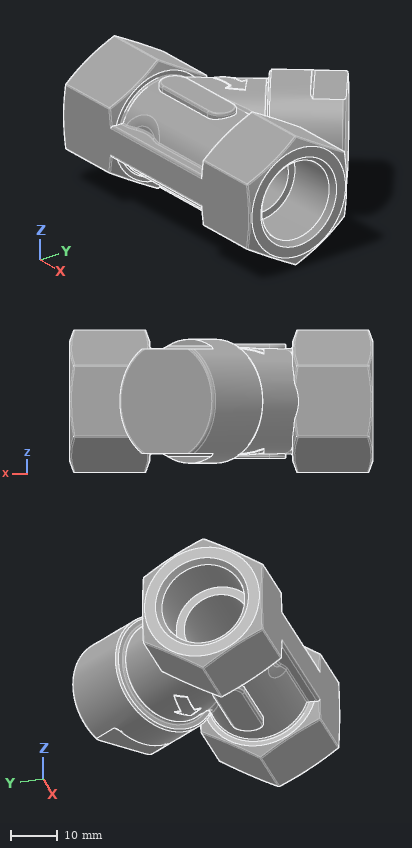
import cadquery as cq
import math

length = 66.0
hex_flats = 27.0
hex_length = 17.5
hex_face_diameter = 25.9
hex_chamfer_angle = 20.0
hex_edge_radius = 0.3
neck_fillet = 0.4

tube_diameter = 23.0
bore_diameter = 15.0
socket_diameter = 18.6
socket_depth = 13.2
mouth_diameter = 20.9

web_thickness = 7.6
web_edge_radius = 0.6
web_hex_overlap = 0.8
web_root_radius = 0.4
web_root_depth = 2.65

branch_x = -13.15
branch_angle = 50.0
branch_end = 39.0
crotch_fillet = 1.3

cap_diameter = 27.0
cap_length = 17.0
cap_end_fillet = 0.6
cap_skirt_chamfer = 0.45
cap_root_fillet = 0.5
cap_flats = 22.8
cap_flat_length = 7.8
cap_flat_bevel = 0.6

plate_length = 23.0
plate_width = 7.05
plate_x = -2.6
plate_height = 12.5
plate_rim_radius = 0.45

arrow_tail_x = -9.25
arrow_y = 11.15
arrow_length = 9.2
arrow_head_length = 3.2
arrow_head_width = 5.95
arrow_shaft_width = 3.05
arrow_relief = 0.2

dimple_x = -8.1
dimple_floor_radius = 8.6
dimple_floor_y = 9.5
dimple_rim_radius = 3.6
dimple_reach = 7.25

overlap = 0.65
select_margin = 0.05

tube_radius = tube_diameter / 2
bore_radius = bore_diameter / 2
socket_radius = socket_diameter / 2
cap_radius = cap_diameter / 2
neck_length = branch_end - cap_length
mouth_radius = mouth_diameter / 2
hex_corner_radius = hex_flats / math.sqrt(3)
hex_inner_x = length / 2 - hex_length


def make_hex_end():
    """Hexagon of the +X end with both faces turned down at the corners."""
    prism = (
        cq.Workplane("YZ", origin=(hex_inner_x, 0, 0))
        .polygon(6, 2 * hex_corner_radius)
        .extrude(hex_length)
        .rotate((0, 0, 0), (1, 0, 0), 90)
    )
    outer_radius = hex_corner_radius + overlap
    face_radius = hex_face_diameter / 2
    run = (outer_radius - face_radius) * math.tan(math.radians(hex_chamfer_angle))
    turned = (
        cq.Workplane("XY")
        .moveTo(hex_inner_x, 0)
        .lineTo(hex_inner_x, face_radius)
        .lineTo(hex_inner_x + run, outer_radius)
        .lineTo(length / 2 - run, outer_radius)
        .lineTo(length / 2, face_radius)
        .lineTo(length / 2, 0)
        .close()
        .revolve(360, (0, 0, 0), (1, 0, 0))
    )
    side_edges = prism.intersect(turned).faces("#X").edges()
    return side_edges.fillet(hex_edge_radius)


def place_on_branch(solid):
    """Move a solid built along X from the origin onto the branch axis."""
    return solid.rotate((0, 0, 0), (0, 0, 1), branch_angle).translate((branch_x, 0, 0))


def make_blend_ring(shoulder_x, radius):
    """Concave ring that blends a round of the pipe's size into a shoulder facing -X."""
    inner = tube_radius - overlap
    return (
        cq.Workplane("XY")
        .moveTo(shoulder_x, inner)
        .lineTo(shoulder_x, tube_radius + radius)
        .radiusArc((shoulder_x - radius, tube_radius), radius)
        .lineTo(shoulder_x - radius, inner)
        .close()
        .revolve(360, (0, 0, 0), (1, 0, 0))
    )


def make_body():
    """Pipe and branch neck, blended where they cross."""
    pipe = cq.Workplane("YZ").circle(tube_radius).extrude(hex_inner_x + overlap, both=True)
    neck = cq.Workplane("YZ").circle(tube_radius).extrude(neck_length + overlap)
    body = pipe.union(place_on_branch(neck))
    crotch = cq.selectors.BoxSelector(
        (branch_x + select_margin, select_margin, -tube_radius),
        (hex_inner_x, length, tube_radius),
    )
    return body.edges(crotch).fillet(crotch_fillet)


def make_cap():
    """Round branch cap with two wrench flats and a blended root."""
    cap = (
        cq.Workplane("YZ", origin=(neck_length, 0, 0))
        .circle(cap_radius)
        .extrude(cap_length)
        .faces(">X").edges().fillet(cap_end_fillet)
        .faces("<X").edges().chamfer(cap_skirt_chamfer)
    )
    flat_half = cap_flats / 2
    flat_start = branch_end - cap_flat_length
    relief = (
        cq.Workplane("XZ")
        .moveTo(flat_start + cap_flat_bevel, flat_half)
        .lineTo(branch_end, flat_half)
        .lineTo(branch_end, cap_radius)
        .lineTo(flat_start, cap_radius)
        .lineTo(flat_start, flat_half + cap_flat_bevel)
        .close()
        .extrude(cap_radius, both=True)
    )
    cap = cap.cut(relief).cut(relief.mirror("XY"))
    return place_on_branch(cap.union(make_blend_ring(neck_length, cap_root_fillet)))


def cut_dimple(body):
    """Sink a saddle-shaped dimple into the -Y side of the pipe and round its rim."""
    plug = (
        cq.Workplane("XY", origin=(dimple_x, -dimple_floor_y - dimple_floor_radius, 0))
        .circle(dimple_floor_radius)
        .extrude(tube_radius, both=True)
    )
    rim = cq.selectors.BoxSelector(
        (dimple_x - dimple_reach, -tube_radius - overlap, -dimple_reach),
        (dimple_x + dimple_reach, -tube_radius / 2, dimple_reach),
    )
    return body.cut(plug).edges(rim).fillet(dimple_rim_radius)


def add_web(body):
    """Add the rib on the -Y side, flush with a flat of each hexagon and blended into the pipe."""
    reach = hex_inner_x + web_hex_overlap
    web = (
        cq.Workplane("XY")
        .box(2 * reach, hex_flats / 2, web_thickness, centered=(True, False, True))
        .translate((0, -hex_flats / 2, 0))
        .edges("|X and <Y").fillet(web_edge_radius)
    )
    joined = body.union(web)
    for side_z in (-web_thickness / 2, web_thickness / 2):
        root = cq.selectors.BoxSelector(
            (-reach - overlap, -tube_radius, side_z - select_margin),
            (reach + overlap, -tube_radius + web_root_depth, side_z + select_margin),
        )
        joined = joined.edges(root).fillet(web_root_radius)
    return joined


def make_plate():
    """Oblong plate with a rounded rim, standing on top of the pipe."""
    root = tube_radius / 2
    return (
        cq.Workplane("XY", origin=(plate_x, 0, root))
        .slot2D(plate_length, plate_width)
        .extrude(plate_height - root)
        .faces(">Z").edges().fillet(plate_rim_radius)
    )


def make_arrow():
    """Flow arrow that stands a little proud of the top of the branch neck."""
    shaft_half = arrow_shaft_width / 2
    head_half = arrow_head_width / 2
    shaft_length = arrow_length - arrow_head_length
    outline = (
        cq.Workplane("XY", origin=(arrow_tail_x, arrow_y, tube_radius / 2))
        .moveTo(0, shaft_half)
        .lineTo(shaft_length, shaft_half)
        .lineTo(shaft_length, head_half)
        .lineTo(arrow_length, 0)
        .lineTo(shaft_length, -head_half)
        .lineTo(shaft_length, -shaft_half)
        .lineTo(0, -shaft_half)
        .close()
        .extrude(tube_radius)
    )
    skin = cq.Workplane("YZ").circle(tube_radius + arrow_relief).extrude(neck_length)
    return outline.intersect(place_on_branch(skin))


def make_bore():
    """Through bore, with a wider socket and a countersunk mouth at each end."""
    mouth_depth = mouth_radius - socket_radius
    half = length / 2
    half_bore = (
        cq.Workplane("XY")
        .lineTo(0, bore_radius)
        .lineTo(half - socket_depth, bore_radius)
        .lineTo(half - socket_depth, socket_radius)
        .lineTo(half - mouth_depth, socket_radius)
        .lineTo(half, mouth_radius)
        .lineTo(half, 0)
        .close()
        .revolve(360, (0, 0, 0), (1, 0, 0))
    )
    return half_bore.union(half_bore.mirror("YZ"))


result = add_web(cut_dimple(make_body())).union(make_cap())
for end_part in (make_hex_end(), make_blend_ring(hex_inner_x, neck_fillet)):
    result = result.union(end_part).union(end_part.mirror("YZ"))
for top_part in (make_plate(), make_arrow()):
    result = result.union(top_part).union(top_part.mirror("XY"))
result = result.cut(make_bore())